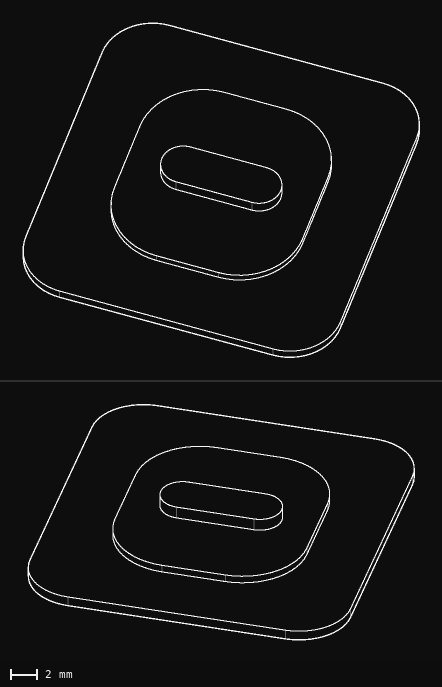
import cadquery as cq

base_width = 24.9
base_length = 26.0
base_thickness = 0.8
base_corner_radius = 4.0

pad_width = 14.9
pad_length = 16.0
pad_thickness = 0.6
pad_corner_radius = 5.0

key_length = 9.4
key_width = 3.4
key_height = 1.0


def rounded_plate(width, length, thickness, corner_radius):
    """Flat plate centred on the Z axis, with rounded vertical corners."""
    plate = cq.Workplane("XY").rect(width, length).extrude(thickness)
    return plate.edges("|Z").fillet(corner_radius)


base = rounded_plate(base_width, base_length, base_thickness, base_corner_radius)
pad = rounded_plate(pad_width, pad_length, pad_thickness, pad_corner_radius)
key = cq.Workplane("XY").slot2D(key_length, key_width).extrude(key_height)

pad_bottom = base_thickness
key_bottom = pad_bottom + pad_thickness
result = base.union(pad.translate((0, 0, pad_bottom))).union(key.translate((0, 0, key_bottom)))